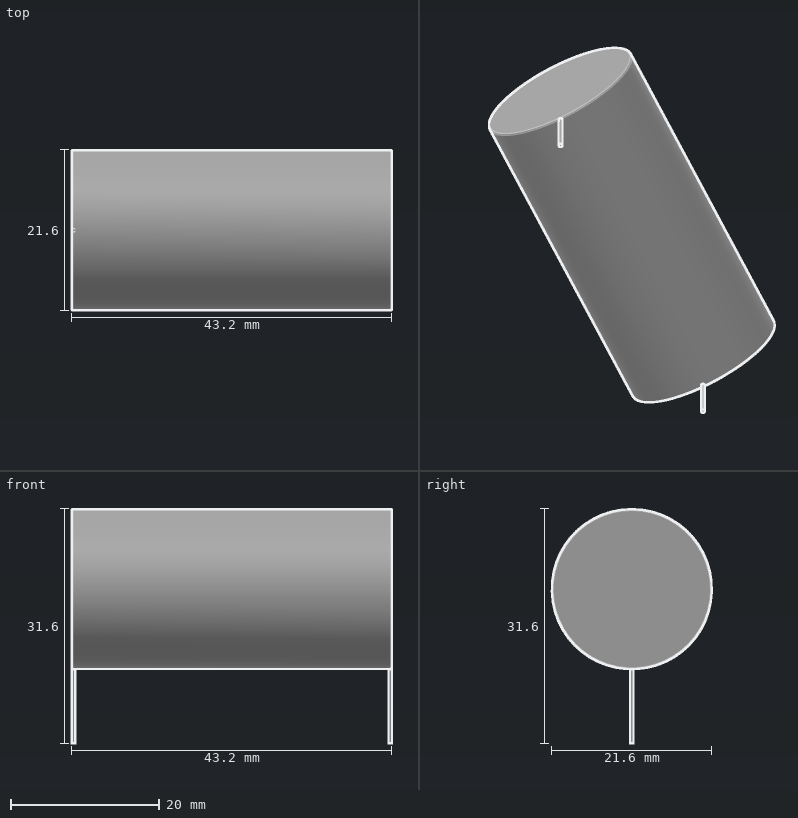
import cadquery as cq

can_length = 43.2
can_diameter = 21.6
rim_fillet = 0.2

lead_diameter = 0.51
lead_spacing = 42.7
lead_length = 10.0

can_radius = can_diameter / 2


def make_can():
    """Solid cylinder along X with both end rims rounded."""
    end_plane = cq.Plane(
        origin=(-can_length / 2, 0, can_radius),
        xDir=(0, 0, 1),
        normal=(1, 0, 0),
    )
    return (
        cq.Workplane(end_plane)
        .circle(can_radius)
        .extrude(can_length)
        .edges("%CIRCLE")
        .fillet(rim_fillet)
    )


def make_lead(x):
    """Vertical round wire hanging from the lowest line of the can."""
    return (
        cq.Workplane("XY", origin=(x, 0, 0))
        .circle(lead_diameter / 2)
        .extrude(-lead_length)
    )


can = make_can()
leads = [make_lead(side * lead_spacing / 2) for side in (-1, 1)]

result = cq.Compound.makeCompound([can.val(), *[lead.val() for lead in leads]])